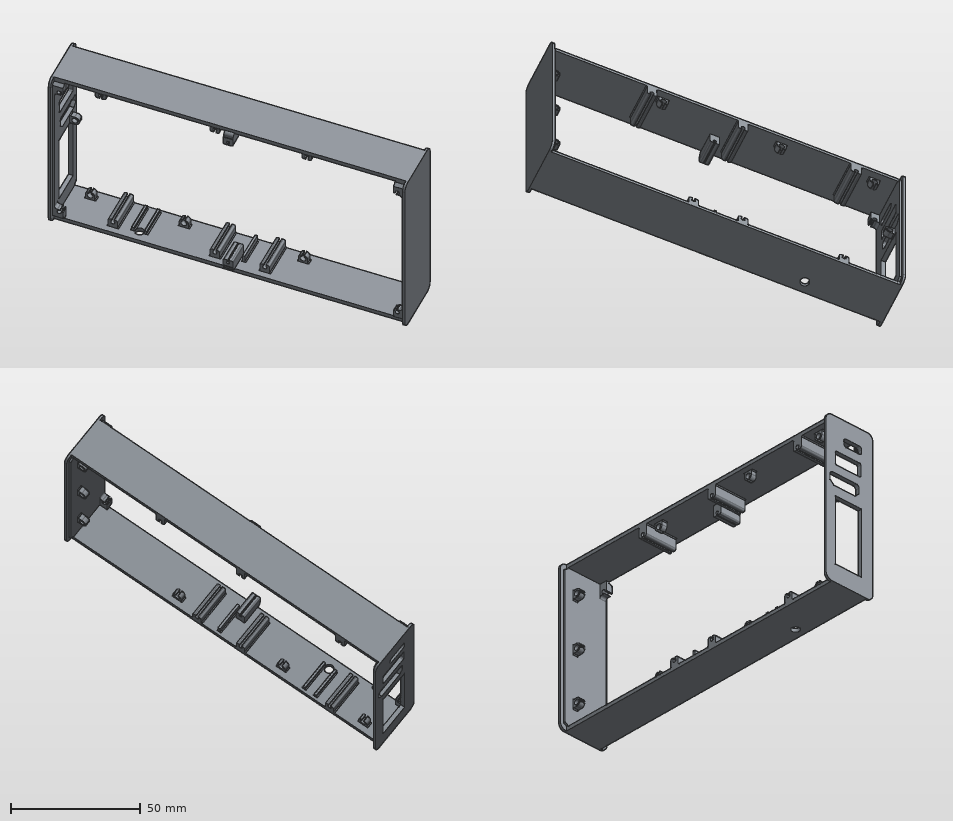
import cadquery as cq
length = 150.0
depth = 25.0
height = 76.5
plate_thickness = 1.0
plate_corner_radius = 3.0
panel_thickness = 1.8
panel_depth = 18.6

wall_thickness = 2.0
wall_depth = 21.9
lip_start = 2.2
lip_end = 3.2

ring_radius = 2.0
ring_rise = 2.1
ring_bore = 2.4
ring_gap = 0.9
ring_length = 2.5
ring_center_y = 5.4
ring_pitch = 25.0
first_ring_x = -64.5
left_ring_z = 3.6

rail_width = 4.0
wide_rail_width = 4.5
rail_front = -6.6
upper_rail_rise = 5.4
lower_rail_rise = 4.0
upper_rails = [(-55.5, wide_rail_width), (-7.5, rail_width), (31.2, rail_width)]
lower_rail_centers = [-50.4, -7.5, 13.5]
tip_round = 0.9
foot_flare = 0.5

keyhole_bore = 1.6
keyhole_gap = 0.9
keyhole_inset = 1.4

boss_front = -11.1
boss_length = 10.4
boss_rise = 5.4
boss_tip_round = 0.6
boss_bore = 1.2
boss_gap = 0.5
boss_top_drop = 1.5
boss_curve_end = 2.7
boss_ledge_drop = 3.6
boss_nose_setback = 0.3

post_width = 5.5
post_drop = 7.2
post_length = 3.2
post_bore_x = 3.9
post_bore_drop = 6.0
post_tip_chamfer = 0.9
post_fillet = 1.2

rib_width = 1.0
guide_rib_rise = 1.6
guide_rib_centers = [-42.6, -37.2]
guide_rib_front = -5.2
stop_rib_rise = 3.2
stop_rib_x = 3.8
stop_rib_front = -4.5
rib_back = 8.1
button_hole_diameter = 3.8
button_hole_y = -4.6

half_x = length / 2
half_z = height / 2
panel_back = panel_depth / 2
panel_front = -panel_back
wall_front = -wall_depth / 2
floor_z = half_z - panel_thickness
wall_face_x = half_x - wall_thickness


def extrude_y(sketch, y_from, y_to):
    """Extrude a wire drawn on the XZ plane between two Y positions."""
    return sketch.extrude(y_from - y_to).translate((0, y_from, 0))


def block(x_from, x_to, y_from, y_to, z_from, z_to):
    """Box given by its limits along each axis."""
    size = (x_to - x_from, y_to - y_from, z_to - z_from)
    return cq.Workplane("XY").box(*size, centered=False).translate((x_from, y_from, z_from))


def on_bottom(body, x):
    return body.translate((x, 0, -floor_z))


def on_top(body, x):
    return body.rotate((0, 0, 0), (0, 1, 0), 180).translate((x, 0, floor_z))


def on_right(body, z):
    return body.rotate((0, 0, 0), (0, 1, 0), -90).translate((wall_face_x, 0, z))


def on_left(body, z):
    return body.rotate((0, 0, 0), (0, 1, 0), 90).translate((-wall_face_x, 0, z))


def cylinder_y(diameter, x, z, y_from, y_to):
    return extrude_y(cq.Workplane("XZ").center(x, z).circle(diameter / 2), y_from, y_to)


def foot(width, y_from, y_to):
    """Low flared strip where an upright meets its panel."""
    half = width / 2
    outline = (
        cq.Workplane("XZ")
        .moveTo(-half - foot_flare, 0)
        .lineTo(half + foot_flare, 0)
        .lineTo(half, foot_flare)
        .lineTo(-half, foot_flare)
        .close()
    )
    return extrude_y(outline, y_from, y_to)


def keyhole(rise, bore_diameter, gap, y_from, y_to):
    """Cutter for a round groove that opens through the tip of an upright."""
    bore_z = rise - keyhole_inset
    bore = cylinder_y(bore_diameter, 0, bore_z, y_from, y_to)
    return bore.union(block(-gap / 2, gap / 2, y_from, y_to, bore_z, rise))


def rail(width, rise):
    """Upright with rounded tip edges and a keyhole groove along its length."""
    body = block(-width / 2, width / 2, rail_front, panel_back, 0, rise)
    body = body.edges("|Y and >Z").fillet(tip_round)
    body = body.union(foot(width, rail_front, panel_back))
    return body.cut(keyhole(rise, keyhole_bore, keyhole_gap, rail_front, panel_back))


def ring_clip():
    """Short split ring standing on a square foot."""
    y_from = ring_center_y - ring_length / 2
    y_to = ring_center_y + ring_length / 2
    body = cylinder_y(2 * ring_radius, 0, ring_rise, y_from, y_to)
    body = body.union(block(-ring_radius, ring_radius, y_from, y_to, 0, ring_rise))
    body = body.union(foot(2 * ring_radius, y_from, y_to))
    body = body.cut(cylinder_y(ring_bore, 0, ring_rise, y_from, y_to))
    gap = block(-ring_gap / 2, ring_gap / 2, y_from, y_to, ring_rise, ring_rise + ring_radius)
    return body.cut(gap)


def rib(rise, y_from, y_to):
    body = block(-rib_width / 2, rib_width / 2, y_from, y_to, 0, rise)
    return body.union(foot(rib_width, y_from, y_to))


def middle_boss():
    """Upright reaching forward of the panel, with a curved nose set back above a small ledge."""
    y_back = boss_front + boss_length
    body = block(-rail_width / 2, rail_width / 2, boss_front, y_back, 0, boss_rise)
    body = body.edges("|Y and >Z").fillet(boss_tip_round)
    nose_front = boss_front + boss_nose_setback
    nose_low = boss_top_drop - panel_thickness
    nose_high = boss_curve_end - panel_thickness
    ledge_z = boss_ledge_drop - panel_thickness
    reach = panel_front - nose_front
    drop = nose_high - nose_low
    nose_radius = (reach**2 + drop**2) / (2 * drop)
    nose = (
        cq.Workplane("YZ")
        .moveTo(panel_front, nose_low)
        .radiusArc((nose_front, nose_high), nose_radius)
        .lineTo(nose_front, ledge_z)
        .lineTo(panel_front, ledge_z)
        .close()
        .extrude(rail_width / 2, both=True)
    )
    body = body.cut(block(-rail_width, rail_width, boss_front, panel_front, 0, ledge_z)).union(nose)
    return body.cut(keyhole(boss_rise, boss_bore, boss_gap, boss_front, y_back))


def lipped_core(x_from, x_to):
    """Block filling the frame height whose front and back edges step in at sloped lips."""
    quarter = [(panel_back, half_z), (panel_back, half_z - lip_start), (wall_depth / 2, half_z - lip_end)]
    back_edge = quarter + [(y, -z) for y, z in reversed(quarter)]
    front_edge = [(-y, z) for y, z in reversed(back_edge)]
    outline = cq.Workplane("YZ").polyline(back_edge + front_edge).close()
    return outline.extrude(x_to - x_from).translate((x_from, 0, 0))


def corner_post():
    """Post in the upper left corner, with a keyhole groove opening diagonally inward."""
    x_outer = -half_x + plate_thickness
    x_wall = -wall_face_x
    x_inner = -half_x + post_width
    z_low = half_z - post_drop
    outline = (
        cq.Workplane("XZ")
        .moveTo(x_outer, half_z - panel_thickness)
        .lineTo(x_inner, half_z - panel_thickness)
        .lineTo(x_inner, z_low + post_tip_chamfer)
        .lineTo(x_inner - post_tip_chamfer, z_low)
        .lineTo(x_wall + post_fillet, z_low)
        .radiusArc((x_wall, z_low - post_fillet), -post_fillet)
        .lineTo(x_outer, z_low - post_fillet)
        .close()
    )
    y_back = wall_front + post_length
    body = extrude_y(outline, wall_front, y_back)
    body = body.intersect(lipped_core(-half_x, 0))
    bore_x = -half_x + post_bore_x
    bore_z = half_z - post_bore_drop
    slot = block(0, post_width / 2, wall_front, y_back, -keyhole_gap / 2, keyhole_gap / 2)
    slot = slot.rotate((0, 0, 0), (0, 1, 0), 45).translate((bore_x, 0, bore_z))
    return body.cut(cylinder_y(keyhole_bore, bore_x, bore_z, wall_front, y_back)).cut(slot)


def frame():
    """End plates, inner walls and the two panels."""
    body = block(-half_x, half_x, panel_front, panel_back, -half_z, half_z)
    inside = block(-wall_face_x, wall_face_x, panel_front, panel_back, -floor_z, floor_z)
    body = body.cut(inside)
    plate = (
        cq.Workplane("YZ")
        .rect(depth, height)
        .extrude(plate_thickness)
        .edges("|X")
        .fillet(plate_corner_radius)
    )
    body = body.union(plate.translate((-half_x, 0, 0)))
    body = body.union(plate.translate((half_x - plate_thickness, 0, 0)))
    body = body.union(lipped_core(-half_x + plate_thickness, -wall_face_x))
    return body.union(lipped_core(wall_face_x, half_x - plate_thickness))


def connector_openings():
    """Cutters for the four openings through the left end plate."""
    x_from = -half_x
    x_to = -wall_face_x
    small_port = block(x_from, x_to, -6.5, 3.0, 26.4, 30.2).edges("|X").fillet(1.2)
    square_port = block(x_from, x_to, -6.0, 7.5, 16.0, 22.4).edges("|X").fillet(0.6)
    wide_port = block(x_from, x_to, -5.1, 10.4, 6.2, 12.0)
    wide_port = wide_port.edges("|X and >Z").fillet(1.4)
    wide_port = wide_port.edges("|X and <Z").chamfer(2.0)
    window = block(x_from, x_to, -6.5, 7.5, -29.7, 1.6)
    return [small_port, square_port, wide_port, window]


result = frame()
for opening in connector_openings():
    result = result.cut(opening)

left_posts = corner_post()
left_posts = left_posts.union(left_posts.mirror("XY"))
result = result.union(left_posts).union(left_posts.mirror("YZ"))

for x in (first_ring_x, -ring_pitch, ring_pitch):
    result = result.union(on_top(ring_clip(), x)).union(on_bottom(ring_clip(), x))
for z in (-ring_pitch, 0, ring_pitch):
    result = result.union(on_right(ring_clip(), z))
result = result.union(on_left(ring_clip(), left_ring_z))

for x, width in upper_rails:
    result = result.union(on_top(rail(width, upper_rail_rise), x))
for x in lower_rail_centers:
    result = result.union(on_bottom(rail(rail_width, lower_rail_rise), x))

result = result.union(on_top(middle_boss(), 0)).union(on_bottom(middle_boss(), 0))

for x in guide_rib_centers:
    result = result.union(on_bottom(rib(guide_rib_rise, guide_rib_front, rib_back), x))
result = result.union(on_bottom(rib(stop_rib_rise, stop_rib_front, rib_back), stop_rib_x))

button_x = sum(guide_rib_centers) / 2
result = result.cut(
    cq.Workplane("XY", origin=(button_x, button_hole_y, -half_z))
    .circle(button_hole_diameter / 2)
    .extrude(panel_thickness)
)